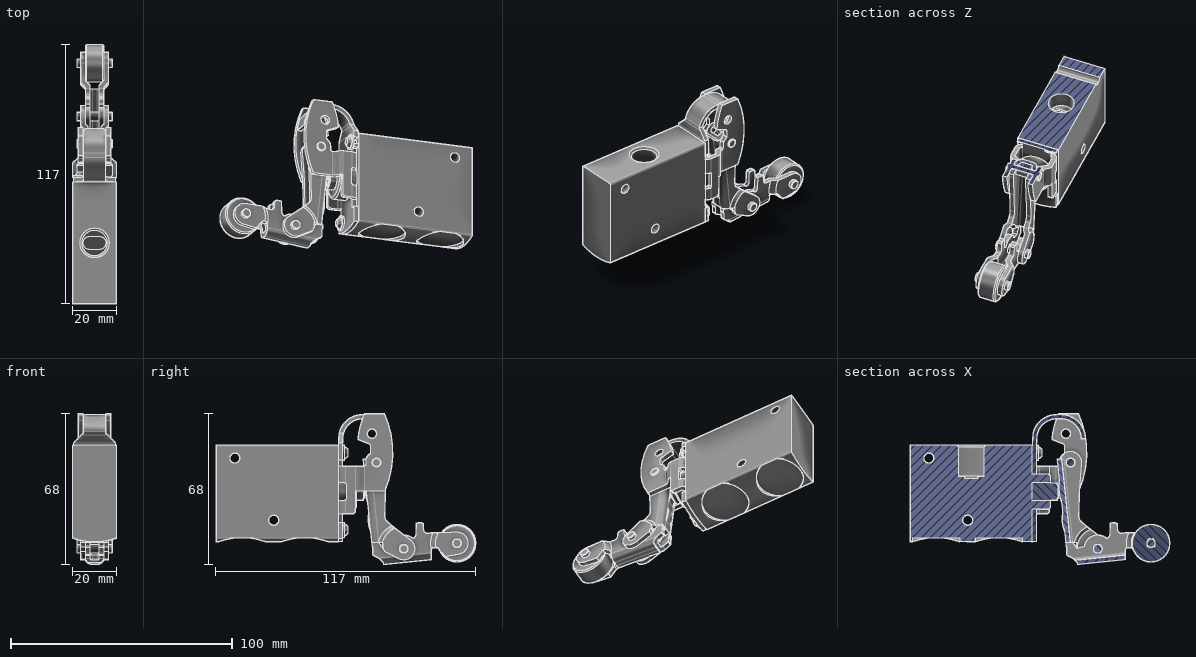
import cadquery as cq
import math


HALF_WIDTH = 10.0
SHEET = 2.0
ARM_SHEET = 2.15
JOG_LEAD = 0.8
INNER_BEND = 1.0
OUTER_BEND = INNER_BEND + ARM_SHEET
FAR = 100.0
PIN_DIA = 4.0
PIN_HALF_LENGTH = 8.0
PIN_CHAMFER = 0.2

BODY_LENGTH = 55.0
BODY_HEIGHT = 42.0
BODY_MID = BODY_HEIGHT / 2
BELLY_SAG = 1.65
EDGE_FILLET = 0.5
SPOTFACE_DIA = 21.2
SPOTFACE_Y = (-15.1, -43.35)
PORT_DIA = 11.45
PORT_MOUTH_DIA = 13.3
PORT_DEPTH = 14.0
PORT_SLOT = (10.4, 5.7)
PORT_SLOT_DEPTH = 1.0
MOUNT_HOLE_DIA = 4.4
MOUNT_HOLES = ((-29.1, 8.1), (-46.6, 36.1))
NECK_DIA = 15.95
NECK_LENGTH = 8.2
NECK_CHAMFER = 0.8

SCREW_X = 6.0
UPPER_SCREW_Z = 38.5
LOWER_SCREW_Z = 3.7
SHANK_DIA = 2.46
WASHER_DIA = 6.8
WASHER_THICKNESS = 0.8
HEAD_BASE_DIA = 5.4
HEAD_TIP_DIA = 3.0
HEAD_HEIGHT = 1.6
HEAD_DOME_RADIUS = 3.0

PLUNGER_DIA = 7.98
PLUNGER_END = 11.3
NUB_DIA = 6.0
NUB_END = 11.8
PLUNGER_BORE = 8.0

PLATE_HALF_WIDTH = 9.5
SHOULDER_Z = 43.0
GUARD_HALF_WIDTH = 5.0
GUARD_RADIUS = 11.0
GUARD_CENTRE_Z = 44.75
GUARD_FOOT_Z = 46.6
GUARD_FOOT_LEAN = 0.25
GUARD_ARC_Z = 48.0
GUARD_FLAT = 2.0
GUARD_TIP_CHAMFER = 1.0
NECK_CLEARANCE_DIA = 16.0
CHEEK_BOTTOM = 11.0
CHEEK_TOP = 32.5
CHEEK_BEND = 3.2
CHEEK_CHAMFER = 0.8
JOG_START = 7.7
JOG_END = 11.7
EAR_OUTER = 7.35
EAR_BOTTOM = 21.2
EAR_TOP = 56.1
WINDOW_DEPTH = 3.6
WINDOW_HEIGHT = 8.1
WINDOW_CHAMFER = 0.7
RELIEF_DEPTH = 3.0
LOWER_RELIEF_BOTTOM = 7.1
UPPER_RELIEF_TOP = 35.3
SCREW_NOTCH = 3.1
SPARE_HOLE_DIA = 4.05
SPARE_HOLE = (15.15, 47.1)
PIVOT = (17.2, 34.1)

KNEE = (29.5, -4.75)
EYE_RADIUS = 5.0
LEVER_HALF_WIDTH = 5.1
LEVER_TOP = 35.6
LEVER_BOTTOM = -2.0
LEVER_BACK_TOP = 11.15
LEVER_BACK_BOTTOM = 15.05
KNEE_JOG = (10.1, 11.8)
PIN_CLEARANCE_DIA = 4.05
PUSH_PAD_HALF_LENGTH = 5.0
PUSH_PAD = (BODY_MID - PUSH_PAD_HALF_LENGTH, BODY_MID + PUSH_PAD_HALF_LENGTH)
PADS = ((3.0, 11.5), PUSH_PAD)
PAD_HEIGHT = 0.65
PAD_HALF_WIDTH = 1.9

LINK_HALF_WIDTH = 4.15
FORK_OUTER = LINK_HALF_WIDTH + ARM_SHEET
ROLLER_DIA = 17.0
ROLLER_HALF_WIDTH = LINK_HALF_WIDTH
ROLLER_CHAMFER = 0.6
ROLLER_TIP = 61.98
ROLLER_AXIS = (ROLLER_TIP - ROLLER_DIA / 2, -2.25)
LINK_FRONT = 41.9
LINK_FRONT_BOTTOM = -9.7
LINK_HEEL = 20.35
LINK_HEEL_BOTTOM = -11.92
LINK_KNEE_RADIUS = 6.2
FORK_JOG = (9.7, 11.9)


def around(centre, radius, degrees):
    """Point in the YZ plane at an angle from +Y around a centre."""
    angle = math.radians(degrees)
    return (centre[0] + radius * math.cos(angle), centre[1] + radius * math.sin(angle))


def side_sketch():
    return cq.Workplane("YZ")


def prism(outline, half_width):
    """Extrude a YZ outline along X, symmetric about the middle plane."""
    return outline.extrude(2 * half_width).translate((-half_width, 0, 0))


def rod(centre, diameter, half_length):
    return prism(side_sketch().center(*centre).circle(diameter / 2), half_length)


def pin(centre):
    return rod(centre, PIN_DIA, PIN_HALF_LENGTH).faces("<X or >X").chamfer(PIN_CHAMFER)


def lengthwise_cylinder(x, z, diameter, start, end):
    """Cylinder along Y from start to end."""
    disc = cq.Workplane("XZ", origin=(x, start, z)).circle(diameter / 2)
    return disc.extrude(start - end)


def both_sides(solid):
    return solid.union(solid.mirror("YZ"))


def box(x_range, y_range, z_range):
    size = [high - low for low, high in (x_range, y_range, z_range)]
    corner = (x_range[0], y_range[0], z_range[0])
    return cq.Workplane("XY").box(*size, centered=False).translate(corner)


def jogged_cheek(blank, centre, jog, arm_outer):
    """Cheek around a pin, dished inwards between the two jog radii and trimmed to the blank."""
    jog_start, jog_end = jog
    section = cq.Workplane("XY").polyline([
        (FORK_OUTER - ARM_SHEET, 0),
        (FORK_OUTER, 0),
        (FORK_OUTER, jog_start),
        (arm_outer, jog_end),
        (arm_outer - ARM_SHEET, jog_end),
        (arm_outer - ARM_SHEET, jog_end - JOG_LEAD),
        (FORK_OUTER - ARM_SHEET, jog_start - JOG_LEAD),
    ])
    dish = section.close().revolve(360, (0, 0, 0), (1, 0, 0)).translate((0, *centre))
    return dish.intersect(blank)


def folded_arm(blank, web_start, web_end, hollow_side, half_width, centre, jog):
    """Channel with a web from web_start to web_end and two cheeks that spread around a pin.

    The blank is the side outline of the arm, extruded across the full width.
    hollow_side points from the web into the channel, as a unit vector in the YZ plane.
    """
    solid = blank.intersect(box((-half_width, half_width), (-FAR, FAR), (-FAR, FAR)))
    web_mid = [(a + b) / 2 for a, b in zip(web_start, web_end)]
    for side in (-half_width, half_width):
        solid = solid.edges(cq.selectors.NearestToPointSelector((side, *web_mid))).fillet(OUTER_BEND)

    along = [(b - a) / math.dist(web_start, web_end) for a, b in zip(web_start, web_end)]
    inner_mid = [m + ARM_SHEET * n for m, n in zip(web_mid, hollow_side)]
    near = [[p + sign * FAR * a for p, a in zip(inner_mid, along)] for sign in (-1, 1)]
    deep = [[p + FAR * n for p, n in zip(point, hollow_side)] for point in near]
    hollow = side_sketch().polyline([near[0], near[1], deep[1], deep[0]]).close()
    hollow = prism(hollow, half_width - ARM_SHEET)
    for side in (ARM_SHEET - half_width, half_width - ARM_SHEET):
        hollow = hollow.edges(cq.selectors.NearestToPointSelector((side, *inner_mid))).fillet(INNER_BEND)
    solid = solid.cut(hollow)

    solid = solid.cut(rod(centre, 2 * jog[1], FAR))
    return solid.union(both_sides(jogged_cheek(blank, centre, jog, half_width)))


def belly_profile(half_width, top):
    """Front outline with a flat top and the housing's curved underside."""
    belly_radius = (HALF_WIDTH**2 + BELLY_SAG**2) / (2 * BELLY_SAG)
    edge_z = belly_radius - BELLY_SAG - math.sqrt(belly_radius**2 - half_width**2)
    return (
        cq.Workplane("XZ")
        .moveTo(-half_width, edge_z)
        .threePointArc((0, -BELLY_SAG), (half_width, edge_z))
        .lineTo(half_width, top)
        .lineTo(-half_width, top)
        .close()
    )


def cover_screw(x, z):
    washer_end = SHEET + WASHER_THICKNESS
    shank = lengthwise_cylinder(x, z, SHANK_DIA, 0, SHEET)
    washer = lengthwise_cylinder(x, z, WASHER_DIA, SHEET, washer_end)
    head = (
        cq.Workplane("XY")
        .lineTo(HEAD_BASE_DIA / 2, 0)
        .radiusArc((HEAD_TIP_DIA / 2, HEAD_HEIGHT), -HEAD_DOME_RADIUS)
        .lineTo(0, HEAD_HEIGHT)
        .close()
        .revolve(360, (0, 0, 0), (0, 1, 0))
        .translate((x, washer_end, z))
    )
    return shank.union(washer).union(head)


def make_housing():
    body = belly_profile(HALF_WIDTH, BODY_HEIGHT).extrude(BODY_LENGTH)
    body = body.edges("|Y").fillet(EDGE_FILLET)

    for y in SPOTFACE_Y:
        body = body.cut(cq.Workplane("XY", origin=(0, y, 0)).circle(SPOTFACE_DIA / 2).extrude(-FAR))
    for hole in MOUNT_HOLES:
        body = body.cut(rod(hole, MOUNT_HOLE_DIA, FAR))

    port = cq.Workplane("XY", origin=(0, -BODY_LENGTH / 2, BODY_HEIGHT))
    mouth_depth = (PORT_MOUTH_DIA - PORT_DIA) / 2
    bore = port.circle(PORT_DIA / 2).extrude(-PORT_DEPTH)
    mouth = port.circle(PORT_MOUTH_DIA / 2).workplane(offset=-mouth_depth).circle(PORT_DIA / 2).loft()
    slot = port.slot2D(*PORT_SLOT).extrude(-PORT_DEPTH - PORT_SLOT_DEPTH)
    body = body.cut(bore).cut(mouth).cut(slot)

    neck = lengthwise_cylinder(0, BODY_MID, NECK_DIA, 0, NECK_LENGTH).faces(">Y").chamfer(NECK_CHAMFER)
    body = body.union(neck)
    body = body.cut(lengthwise_cylinder(0, BODY_MID, PLUNGER_BORE, 0, NECK_LENGTH))
    body = body.union(cover_screw(-SCREW_X, UPPER_SCREW_Z))
    return body.union(cover_screw(SCREW_X, LOWER_SCREW_Z))


def make_plunger():
    stem = lengthwise_cylinder(0, BODY_MID, PLUNGER_DIA, 0, PLUNGER_END)
    return stem.union(lengthwise_cylinder(0, BODY_MID, NUB_DIA, PLUNGER_END, NUB_END))


def ear_outline():
    """Ear above the cheek, with a bulging front edge and a notch in the rear edge."""
    return (
        side_sketch()
        .moveTo(JOG_START, CHEEK_TOP)
        .lineTo(JOG_END, CHEEK_TOP)
        .lineTo(12.4, 33.0)
        .lineTo(12.6, 36.3)
        .lineTo(14.5, 38.3)
        .lineTo(14.5, 41.4)
        .threePointArc((14.2, 42.25), (13.3, 42.7))
        .lineTo(8.8, 44.5)
        .threePointArc((9.4, 48.8), (10.6, 53.0))
        .lineTo(11.35, 55.3)
        .lineTo(11.9, EAR_TOP)
        .lineTo(20.8, EAR_TOP)
        .lineTo(21.1, 55.5)
        .threePointArc((24.6, 38.7), (21.3, 22.0))
        .lineTo(20.8, EAR_BOTTOM)
        .lineTo(JOG_START, EAR_BOTTOM)
        .close()
    )


def make_cheek():
    """Cheek on the +X side: bent out of the plate, stepped inwards, ending in the ear."""
    inner = HALF_WIDTH - SHEET
    inner_bend = CHEEK_BEND - SHEET
    bend_x = HALF_WIDTH - CHEEK_BEND
    flank = (
        cq.Workplane("XY")
        .moveTo(bend_x, 0)
        .radiusArc((HALF_WIDTH, CHEEK_BEND), -CHEEK_BEND)
        .lineTo(HALF_WIDTH, JOG_START)
        .lineTo(inner, JOG_START)
        .lineTo(inner, CHEEK_BEND)
        .radiusArc((bend_x, SHEET), inner_bend)
        .close()
        .extrude(CHEEK_TOP - CHEEK_BOTTOM)
        .translate((0, 0, CHEEK_BOTTOM))
    )
    flank = flank.edges("|X and >Y and <Z").chamfer(CHEEK_CHAMFER)
    window = box((bend_x, FAR), (0, WINDOW_DEPTH), (-WINDOW_HEIGHT / 2, WINDOW_HEIGHT / 2))
    window = window.edges("|X and >Y").chamfer(WINDOW_CHAMFER)
    flank = flank.cut(window.translate((0, 0, BODY_MID)))

    ear = (
        cq.Workplane("XY")
        .moveTo(HALF_WIDTH, JOG_START)
        .spline([(EAR_OUTER, JOG_END)], tangents=[(0, 1), (0, 1)], includeCurrent=True)
        .lineTo(EAR_OUTER, FAR)
        .lineTo(LEVER_HALF_WIDTH, FAR)
        .lineTo(LEVER_HALF_WIDTH, JOG_END - SHEET / 2)
        .spline([(inner, JOG_START - SHEET / 2)], tangents=[(0, -1), (0, -1)], includeCurrent=True)
        .lineTo(inner, JOG_START)
        .close()
        .extrude(CHEEK_TOP)
    )
    ear = ear.union(box((LEVER_HALF_WIDTH, EAR_OUTER), (0, FAR), (CHEEK_TOP, FAR)))
    return flank.union(ear.intersect(ear_outline().extrude(HALF_WIDTH)))


def make_plate_and_guard():
    inner_radius = GUARD_RADIUS - SHEET
    shoulder = (PLATE_HALF_WIDTH, SHOULDER_Z)
    guard_foot_z = SHOULDER_Z + PLATE_HALF_WIDTH - GUARD_HALF_WIDTH
    flare = (
        cq.Workplane("XZ")
        .polyline([
            shoulder,
            (GUARD_HALF_WIDTH, guard_foot_z),
            (GUARD_HALF_WIDTH, FAR),
            (-GUARD_HALF_WIDTH, FAR),
            (-GUARD_HALF_WIDTH, guard_foot_z),
            (-shoulder[0], shoulder[1]),
        ])
        .close()
        .extrude(-GUARD_RADIUS)
    )
    plate = belly_profile(PLATE_HALF_WIDTH, SHOULDER_Z).extrude(-SHEET)

    arc_rise = GUARD_ARC_Z - GUARD_CENTRE_Z
    outer_start = GUARD_RADIUS - math.sqrt(GUARD_RADIUS**2 - arc_rise**2)
    inner_start = GUARD_RADIUS - math.sqrt(inner_radius**2 - arc_rise**2)
    rise = (
        side_sketch()
        .moveTo(0, SHOULDER_Z)
        .lineTo(GUARD_FOOT_LEAN, GUARD_FOOT_Z)
        .lineTo(outer_start, GUARD_ARC_Z)
        .radiusArc((GUARD_RADIUS, GUARD_CENTRE_Z + GUARD_RADIUS), GUARD_RADIUS)
        .lineTo(GUARD_RADIUS, GUARD_CENTRE_Z + inner_radius)
        .radiusArc((inner_start, GUARD_ARC_Z), -inner_radius)
        .lineTo(GUARD_FOOT_LEAN + SHEET, GUARD_FOOT_Z)
        .lineTo(SHEET, SHOULDER_Z)
        .close()
    )
    rise = prism(rise, HALF_WIDTH).intersect(flare)
    crown_end = GUARD_RADIUS + GUARD_FLAT
    guard_end = crown_end + GUARD_RADIUS
    fall = (
        side_sketch()
        .moveTo(GUARD_RADIUS, GUARD_CENTRE_Z + GUARD_RADIUS)
        .lineTo(crown_end, GUARD_CENTRE_Z + GUARD_RADIUS)
        .radiusArc((guard_end, GUARD_CENTRE_Z), GUARD_RADIUS)
        .lineTo(crown_end + inner_radius, GUARD_CENTRE_Z)
        .radiusArc((crown_end, GUARD_CENTRE_Z + inner_radius), -inner_radius)
        .lineTo(GUARD_RADIUS, GUARD_CENTRE_Z + inner_radius)
        .close()
    )
    tip = box((-GUARD_HALF_WIDTH, GUARD_HALF_WIDTH), (GUARD_RADIUS, guard_end), (0, FAR))
    fall = prism(fall, GUARD_HALF_WIDTH).intersect(tip.edges("|Z and >Y").chamfer(GUARD_TIP_CHAMFER))
    return plate.union(rise).union(fall)


def make_bracket():
    bracket = make_plate_and_guard()
    relief_start = HALF_WIDTH - RELIEF_DEPTH
    bend_x = HALF_WIDTH - CHEEK_BEND
    openings = [
        box((relief_start, FAR), (0, SHEET), (LOWER_RELIEF_BOTTOM, CHEEK_BOTTOM)),
        box((relief_start, FAR), (0, SHEET), (CHEEK_TOP, UPPER_RELIEF_TOP)),
        box((bend_x, FAR), (0, SHEET), (CHEEK_BOTTOM, CHEEK_TOP)),
    ]
    for opening in openings:
        bracket = bracket.cut(opening).cut(opening.mirror("YZ"))
    bracket = bracket.union(make_cheek()).union(make_cheek().mirror("YZ"))

    bracket = bracket.cut(lengthwise_cylinder(0, BODY_MID, NECK_CLEARANCE_DIA, 0, NECK_LENGTH))
    bracket = bracket.cut(lengthwise_cylinder(-SCREW_X, UPPER_SCREW_Z, SCREW_NOTCH, 0, SHEET))
    half_notch = SCREW_NOTCH / 2
    notch = box((-FAR, -SCREW_X), (0, SHEET), (UPPER_SCREW_Z - half_notch, UPPER_SCREW_Z + half_notch))
    bracket = bracket.cut(notch)
    bracket = bracket.cut(lengthwise_cylinder(SCREW_X, LOWER_SCREW_Z, SCREW_NOTCH, 0, SHEET))
    bracket = bracket.cut(rod(SPARE_HOLE, SPARE_HOLE_DIA, FAR))
    return bracket.union(pin(PIVOT))


def lever_outline():
    shoulder_angle = 180 - math.degrees(math.asin((LEVER_TOP - PIVOT[1]) / EYE_RADIUS))
    return (
        side_sketch()
        .moveTo(LEVER_BACK_BOTTOM, LEVER_BOTTOM)
        .lineTo(LEVER_BACK_TOP, LEVER_TOP)
        .lineTo(*around(PIVOT, EYE_RADIUS, shoulder_angle))
        .threePointArc(around(PIVOT, EYE_RADIUS, 80), around(PIVOT, EYE_RADIUS, 0))
        .lineTo(21.3, 22.0)
        .lineTo(21.0, 10.5)
        .threePointArc((21.2, 8.8), (22.1, 7.5))
        .lineTo(24.1, 5.7)
        .lineTo(*around(KNEE, EYE_RADIUS, 53))
        .threePointArc(around(KNEE, EYE_RADIUS, -30), around(KNEE, EYE_RADIUS, -116.5))
        .lineTo(20.8, -6.0)
        .lineTo(20.0, -4.0)
        .lineTo(20.0, LEVER_BOTTOM)
        .close()
    )


def lever_back(z):
    """y of the back face of the lever web at a height."""
    slope = (LEVER_BACK_TOP - LEVER_BACK_BOTTOM) / (LEVER_TOP - LEVER_BOTTOM)
    return LEVER_BACK_BOTTOM + slope * (z - LEVER_BOTTOM)


def make_lever():
    bottom = (LEVER_BACK_BOTTOM, LEVER_BOTTOM)
    top = (LEVER_BACK_TOP, LEVER_TOP)
    length = math.dist(bottom, top)
    hollow_side = ((top[1] - bottom[1]) / length, (bottom[0] - top[0]) / length)
    blank = prism(lever_outline(), HALF_WIDTH)
    lever = folded_arm(blank, bottom, top, hollow_side, LEVER_HALF_WIDTH, KNEE, KNEE_JOG)
    for low, high in PADS:
        middle = (low + high) / 2
        pad = (
            side_sketch()
            .moveTo(lever_back(low), low)
            .threePointArc((lever_back(middle) - PAD_HEIGHT, middle), (lever_back(high), high))
            .close()
        )
        lever = lever.union(prism(pad, PAD_HALF_WIDTH))
    return lever.cut(rod(PIVOT, PIN_CLEARANCE_DIA, FAR)).union(pin(KNEE))


def link_outline():
    return (
        side_sketch()
        .moveTo(LINK_HEEL, LINK_HEEL_BOTTOM)
        .lineTo(LINK_FRONT, LINK_FRONT_BOTTOM)
        .lineTo(LINK_FRONT, -5.3)
        .lineTo(42.4, -4.4)
        .lineTo(44.8, -4.4)
        .lineTo(47.9, -8.3)
        .lineTo(*around(ROLLER_AXIS, EYE_RADIUS, -79.5))
        .threePointArc(around(ROLLER_AXIS, EYE_RADIUS, 10), around(ROLLER_AXIS, EYE_RADIUS, 90))
        .lineTo(42.0, 2.5)
        .lineTo(40.0, 2.25)
        .threePointArc((39.0, 2.7), (38.5, 3.8))
        .lineTo(38.3, 6.6)
        .lineTo(37.4, 7.1)
        .lineTo(35.1, 6.9)
        .lineTo(34.9, 1.7)
        .threePointArc((34.5, 0.6), around(KNEE, LINK_KNEE_RADIUS, 50))
        .threePointArc(around(KNEE, LINK_KNEE_RADIUS, 110), around(KNEE, LINK_KNEE_RADIUS, 170))
        .lineTo(20.2, -4.5)
        .lineTo(19.5, -3.6)
        .lineTo(18.4, LEVER_BOTTOM)
        .lineTo(15.1, LEVER_BOTTOM)
        .lineTo(15.1, -3.6)
        .lineTo(15.5, -4.2)
        .lineTo(15.5, -7.3)
        .lineTo(15.7, -7.75)
        .lineTo(18.4, -9.2)
        .lineTo(LINK_HEEL, -11.0)
        .close()
    )


def make_link():
    heel = (LINK_HEEL, LINK_HEEL_BOTTOM)
    front = (LINK_FRONT, LINK_FRONT_BOTTOM)
    length = math.dist(heel, front)
    hollow_side = ((heel[1] - front[1]) / length, (front[0] - heel[0]) / length)
    blank = prism(link_outline(), HALF_WIDTH)
    link = folded_arm(blank, heel, front, hollow_side, LINK_HALF_WIDTH, ROLLER_AXIS, FORK_JOG)
    return link.cut(rod(KNEE, PIN_CLEARANCE_DIA, FAR)).union(pin(ROLLER_AXIS))


def make_roller():
    roller = rod(ROLLER_AXIS, ROLLER_DIA, ROLLER_HALF_WIDTH).faces("<X or >X").chamfer(ROLLER_CHAMFER)
    return roller.cut(rod(ROLLER_AXIS, PIN_CLEARANCE_DIA, FAR))


housing = make_housing()
plunger = make_plunger()
bracket = make_bracket()
lever = make_lever()
link = make_link()
roller = make_roller()

bodies = (housing, plunger, bracket, lever, link, roller)
result = cq.Compound.makeCompound([body.solids().val() for body in bodies])